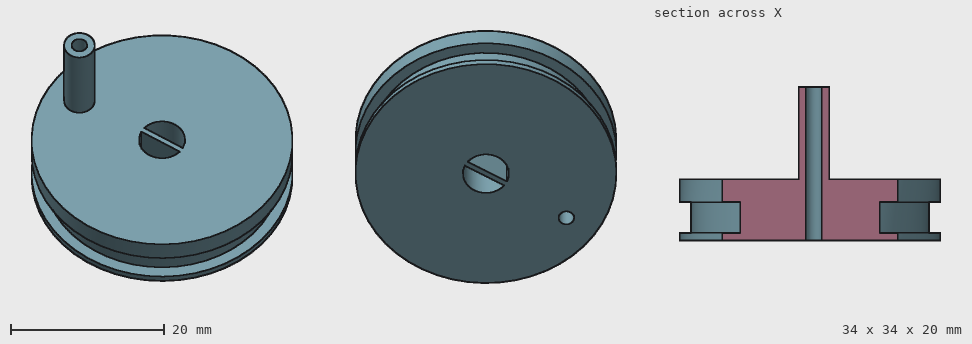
import cadquery as cq

flange_diameter = 34.0
groove_diameter = 31.0
lower_flange_height = 1.0
groove_height = 4.0
upper_flange_height = 3.0
disc_height = lower_flange_height + groove_height + upper_flange_height

center_hole_diameter = 6.0
bar_width = 0.7

handle_diameter = 4.0
handle_bore_diameter = handle_diameter / 2
handle_height = 12.0
handle_x = -12.5
handle_y = -0.5


def make_disc():
    """Two flanges with a narrower groove between them."""
    return (
        cq.Workplane("XY")
        .circle(flange_diameter / 2).extrude(lower_flange_height)
        .faces(">Z").workplane()
        .circle(groove_diameter / 2).extrude(groove_height)
        .faces(">Z").workplane()
        .circle(flange_diameter / 2).extrude(upper_flange_height)
    )


def make_center_openings():
    """The central hole with the bar left standing across it."""
    hole = cq.Workplane("XY").circle(center_hole_diameter / 2).extrude(disc_height)
    bar = cq.Workplane("XY").rect(center_hole_diameter, bar_width).extrude(disc_height)
    return hole.cut(bar)


def make_handle_cylinder(diameter, bottom, top):
    """A vertical cylinder on the handle axis."""
    return (
        cq.Workplane("XY", origin=(handle_x, handle_y, bottom))
        .circle(diameter / 2).extrude(top - bottom)
    )


handle_top = disc_height + handle_height
handle = make_handle_cylinder(handle_diameter, disc_height, handle_top)
handle_bore = make_handle_cylinder(handle_bore_diameter, 0, handle_top)

result = make_disc().cut(make_center_openings()).union(handle).cut(handle_bore)